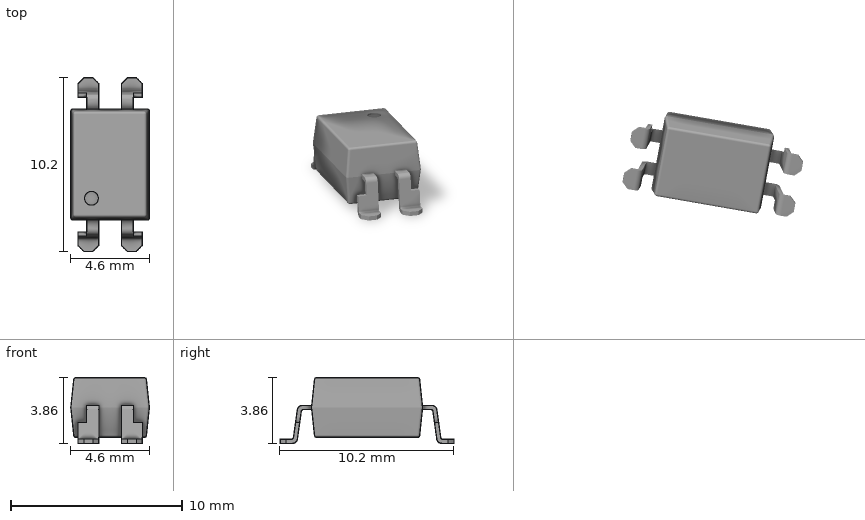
import cadquery as cq
import math

housing_width = 4.6
housing_length = 6.5
housing_height = 3.5
standoff = 0.36
draft_angle = 6.0
housing_fillet = 0.14
half_height = housing_height / 2
parting_z = standoff + half_height
housing_top = standoff + housing_height

marker_diameter = 0.8
marker_depth = 0.1
marker_x = -1.09
marker_y = -1.97

overall_length = 10.16
lead_thickness = 0.25
lead_pitch = 2.54
lead_width = 1.23
neck_width = 0.71
shoulder_z = 1.23
leg_lean = 8.0
leg_shoulder_y = 4.19
inner_bend_radius = 0.1
outer_bend_radius = 0.3
toe_chamfer = 0.36
lead_top = parting_z + lead_thickness / 2
lead_underside = parting_z - lead_thickness / 2
toe_y = overall_length / 2


def make_housing_half():
    """Upper half of the housing, standing on the plane z = 0."""
    half = cq.Workplane("XY").rect(housing_width, housing_length).extrude(half_height, taper=draft_angle)
    return half.edges("not <Z").fillet(housing_fillet)


def make_housing():
    upper = make_housing_half()
    lower = upper.mirror("XY")
    housing = upper.union(lower).translate((0, 0, parting_z))
    marker = (
        cq.Workplane("XY", origin=(marker_x, marker_y, housing_top - marker_depth))
        .circle(marker_diameter / 2)
        .extrude(marker_depth)
    )
    return housing.cut(marker)


def leg_face_y(z):
    """Y of the outward face of the leaning leg at height z."""
    return leg_shoulder_y + (shoulder_z - z) * math.tan(math.radians(leg_lean))


def make_bent_strip():
    """Full-width strip centred on x = 0, with its bends rounded."""
    leg_run = lead_thickness / math.cos(math.radians(leg_lean))
    top_corner = (leg_face_y(lead_top), lead_top)
    under_corner = (leg_face_y(lead_underside) - leg_run, lead_underside)
    instep_corner = (leg_face_y(lead_thickness), lead_thickness)
    heel_corner = (leg_face_y(0) - leg_run, 0)
    half_outline = [
        under_corner,
        heel_corner,
        (toe_y, 0),
        (toe_y, lead_thickness),
        instep_corner,
        top_corner,
    ]
    mirrored_outline = [(-y, z) for y, z in reversed(half_outline)]
    strip = cq.Workplane("YZ").polyline(half_outline + mirrored_outline).close().extrude(lead_width / 2, both=True)

    bends = [
        (top_corner, outer_bend_radius),
        (under_corner, inner_bend_radius),
        (instep_corner, inner_bend_radius),
        (heel_corner, outer_bend_radius),
    ]
    for (y, z), radius in bends:
        for side in (-1, 1):
            strip = strip.edges(cq.NearestToPointSelector((0, side * y, z))).fillet(radius)
    return strip


def make_lead(side):
    """Lead on the -X (side = -1) or +X (side = 1) side, narrowed outboard above its shoulders."""
    strip = make_bent_strip()
    toe_edges = strip.faces("<Y or >Y").edges("|Z")
    strip = toe_edges.chamfer(toe_chamfer)
    notch_width = lead_width - neck_width
    notch = cq.Workplane("XY").box(
        notch_width, overall_length, lead_top - shoulder_z, centered=(True, True, False)
    )
    notch_x = side * (lead_width - notch_width) / 2
    strip = strip.cut(notch.translate((notch_x, 0, shoulder_z)))
    return strip.translate((side * lead_pitch / 2, 0, 0))


leads = [make_lead(side) for side in (-1, 1)]

housing = make_housing()
for lead in leads:
    housing = housing.cut(lead)

result = cq.Compound.makeCompound([housing.val(), *[lead.val() for lead in leads]])